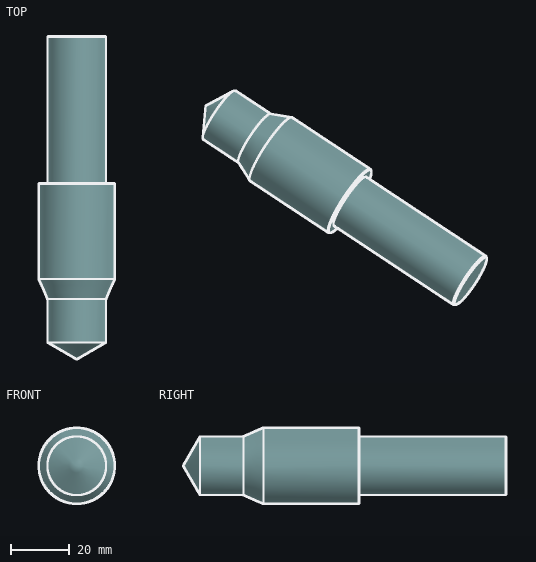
import cadquery as cq
import math

shank_diameter = 20.0
collar_diameter = 26.0
nose_diameter = 20.0
total_length = 110.0
shank_length = 50.0
collar_length = 32.7
taper_length = 6.8
point_angle = 120.0
collar_chamfer = 0.25
shank_chamfer = 0.4

shank_radius = shank_diameter / 2
collar_radius = collar_diameter / 2
nose_radius = nose_diameter / 2

tip_y = 0.0
point_base_y = tip_y + nose_radius / math.tan(math.radians(point_angle / 2))
shank_end_y = tip_y + total_length
shoulder_y = shank_end_y - shank_length
taper_back_y = shoulder_y - collar_length
taper_front_y = taper_back_y - taper_length


def make_pin():
    """Revolve the half profile, in (Y, radius) coordinates, about the Y axis."""
    return (
        cq.Workplane("YZ")
        .moveTo(tip_y, 0)
        .lineTo(point_base_y, nose_radius)
        .lineTo(taper_front_y, nose_radius)
        .lineTo(taper_back_y, collar_radius)
        .lineTo(shoulder_y - collar_chamfer, collar_radius)
        .lineTo(shoulder_y, collar_radius - collar_chamfer)
        .lineTo(shoulder_y, shank_radius)
        .lineTo(shank_end_y - shank_chamfer, shank_radius)
        .lineTo(shank_end_y, shank_radius - shank_chamfer)
        .lineTo(shank_end_y, 0)
        .close()
        .revolve(360, (0, 0, 0), (1, 0, 0))
    )


result = make_pin()